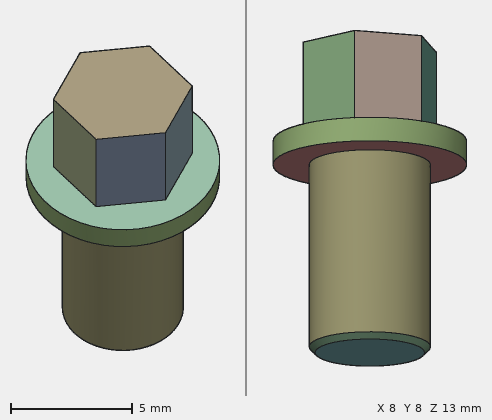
import cadquery as cq
import math

total_height = 13.0
shank_diameter = 5.0
shank_length = 8.0
tip_chamfer = 0.25
flange_diameter = 8.0
flange_thickness = 1.0
hex_across_flats = shank_diameter

flange_top = shank_length + flange_thickness
hex_height = total_height - flange_top
hex_across_corners = hex_across_flats / math.cos(math.pi / 6)

shank = (
    cq.Workplane("XY")
    .circle(shank_diameter / 2)
    .extrude(shank_length)
    .faces("<Z")
    .chamfer(tip_chamfer)
)

flange = (
    cq.Workplane("XY")
    .workplane(offset=shank_length)
    .circle(flange_diameter / 2)
    .extrude(flange_thickness)
)

head = (
    cq.Workplane("XY")
    .workplane(offset=flange_top)
    .polygon(6, hex_across_corners)
    .extrude(hex_height)
)

result = shank.union(flange).union(head)